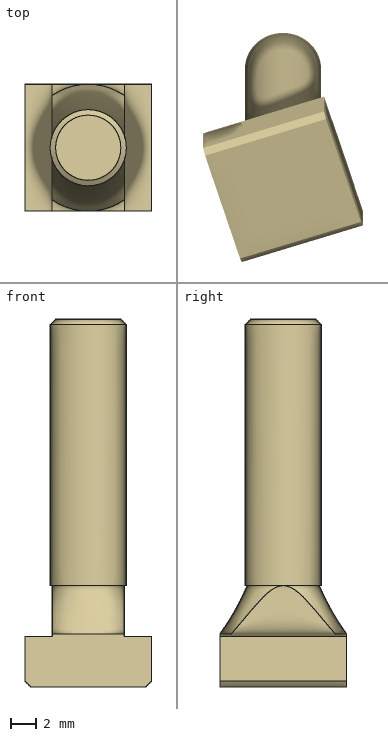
import cadquery as cq

total_height = 29.0

head_side = 10.0
head_height = 4.0
head_chamfer = 0.5

shank_diameter = 6.0
shank_chamfer = 0.44

neck_height = 4.0
neck_width = 5.68
pad_height = 0.17
flare_radius = 20.0
neck_top = head_height + neck_height


def make_head():
    """Square block with its two bottom edges along Y chamfered."""
    block = cq.Workplane("XY").box(head_side, head_side, head_height, centered=(True, True, False))
    return block.faces("<Z").edges("|Y").chamfer(head_chamfer)


def make_shank():
    """Plain cylinder above the neck, with a chamfered tip."""
    shank = cq.Workplane("XY").workplane(offset=neck_top)
    shank = shank.circle(shank_diameter / 2).extrude(total_height - neck_top)
    return shank.faces(">Z").chamfer(shank_chamfer)


def make_neck():
    """Hollow-sided flare trimmed to the neck width, standing on a low pad as long as the head."""
    pad_top = head_height + pad_height
    bottom_radius = head_side / 2
    top_radius = neck_width / 2
    flare = (
        cq.Workplane("XZ")
        .moveTo(0, pad_top)
        .lineTo(bottom_radius, pad_top)
        .radiusArc((top_radius, neck_top), flare_radius)
        .lineTo(0, neck_top)
        .close()
        .revolve(360, (0, 0, 0), (0, 1, 0))
    )
    slab = cq.Workplane("XY").box(neck_width, head_side, neck_top, centered=(True, True, False))
    pad = cq.Workplane("XY").workplane(offset=head_height).rect(neck_width, head_side).extrude(pad_height)
    return flare.intersect(slab).union(pad)


result = make_head().union(make_neck()).union(make_shank())